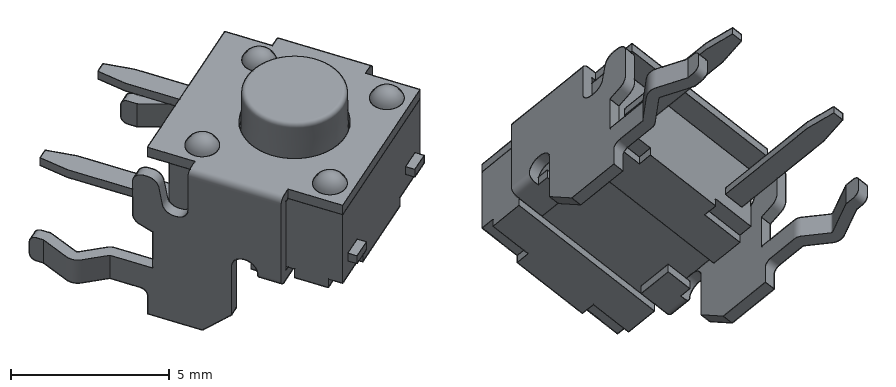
import cadquery as cq
import math


sheet = 0.4
plate_left = -3.74
body_half = 2.99
wall_left = -2.1
wall_right = 1.11
wall_outer = 3.54
wall_inner = wall_outer - sheet
bend_round = 0.25

hook_radius = 0.4
slot_flat = 0.09
slot_bottom = -2.02
post_left = -4.0
post_top = -0.69
post_flat = 0.12
post_corner_radius = 0.37
post_slant_end = -2.98
post_slant_angle = math.radians(20.5)
leg_left = -3.31
leg_right = -0.59
arm_top = -4.5
arm_bottom = -5.48
foot_left = -3.49
foot_bottom = -6.5
foot_chamfer = 1.0
foot_round = 0.25
relief_radius = 0.45
relief_axis = leg_right + relief_radius
relief_top = -2.99

tab_left = -0.1
tab_inner = 2.19
tab_bottom = -3.7
tab_top = tab_bottom + sheet

arm_tip = -7.48
arm_tip_outer = 3.73
arm_tip_bend = -7.0
arm_peak = (-5.74, 4.28)
arm_root_bend = -4.78
arm_peak_radius = 0.48
arm_root_radius = 0.37
arm_tip_round = 0.25

housing_top = -sheet
housing_bottom = -3.66
foot_bar_start = 1.33
foot_notch_start = 2.5
foot_notch_inner = 1.44

stake_pitch = 4.4
stake_diameter = 1.1
stake_height = 0.38

pin_length = 11.0
pin_right = 3.31
pin_left = pin_right - pin_length
pin_offset = 2.23
pin_width = 0.73
pin_tip_width = 0.4
pin_tip_length = 1.02
pin_bottom = -2.67
pin_thickness = 0.33

button_hole_diameter = 3.5
button_base_diameter = 3.4
button_top_diameter = 3.33
button_height = 1.35
button_round = 0.15


def block(x_range, y_range, z_range):
    """A box between the given limits."""
    corner = cq.Vector(x_range[0], y_range[0], z_range[0])
    size = [high - low for low, high in (x_range, y_range, z_range)]
    return cq.Workplane(cq.Solid.makeBox(*size, corner))


def on_circle(center, radius, angle):
    """The point of a circle at an angle in radians."""
    return (center[0] + radius * math.cos(angle), center[1] + radius * math.sin(angle))


def mirrored(shape):
    """A shape on the -Y side together with its mirror image on the +Y side."""
    return shape.union(shape.mirror("XZ"))


def make_wall():
    """The -Y side wall, with its hooked post, foot and relief notch."""
    slot_right = (wall_left - hook_radius, slot_bottom + hook_radius)
    slot_left = (slot_right[0] - slot_flat, slot_right[1])
    post_outer = (post_left + hook_radius, post_top - hook_radius)
    post_inner = (post_outer[0] + post_flat, post_outer[1])

    run = slot_left[0] - post_inner[0]
    rise = slot_left[1] - post_inner[1]
    tangent_angle = math.atan2(rise, run) + math.acos(2 * hook_radius / math.hypot(run, rise))

    slant = math.tan(post_slant_angle)
    corner_x = post_left + post_corner_radius
    tangent_x = corner_x - post_corner_radius * math.sin(post_slant_angle)
    tangent_z = post_slant_end + (leg_left - tangent_x) * slant
    corner_center = (corner_x, tangent_z + post_corner_radius * math.cos(post_slant_angle))
    corner_end_angle = 1.5 * math.pi - post_slant_angle
    corner_mid_angle = (math.pi + corner_end_angle) / 2

    relief_z = relief_top - relief_radius
    outline = (
        cq.Workplane("XZ", origin=(0, -wall_inner, 0))
        .moveTo(wall_left, 0)
        .lineTo(wall_left, slot_right[1])
        .threePointArc(on_circle(slot_right, hook_radius, -math.pi / 4), (slot_right[0], slot_bottom))
        .lineTo(slot_left[0], slot_bottom)
        .threePointArc(
            on_circle(slot_left, hook_radius, -0.75 * math.pi),
            on_circle(slot_left, hook_radius, tangent_angle - math.pi),
        )
        .lineTo(*on_circle(post_inner, hook_radius, tangent_angle))
        .threePointArc(on_circle(post_inner, hook_radius, math.pi / 4), (post_inner[0], post_top))
        .lineTo(post_outer[0], post_top)
        .threePointArc(on_circle(post_outer, hook_radius, 0.75 * math.pi), (post_left, post_outer[1]))
        .lineTo(post_left, corner_center[1])
        .threePointArc(
            on_circle(corner_center, post_corner_radius, corner_mid_angle),
            on_circle(corner_center, post_corner_radius, corner_end_angle),
        )
        .lineTo(leg_left, post_slant_end)
        .lineTo(leg_left, arm_top)
        .lineTo(foot_left, arm_top)
        .lineTo(foot_left, foot_bottom)
        .lineTo(leg_right - foot_chamfer, foot_bottom)
        .lineTo(leg_right, foot_bottom + foot_chamfer)
        .lineTo(leg_right, relief_z)
        .threePointArc((relief_axis, relief_top), (relief_axis + relief_radius, relief_z))
        .lineTo(relief_axis + relief_radius, tab_bottom)
        .lineTo(wall_right, tab_bottom)
        .lineTo(wall_right, 0)
        .close()
    )
    return outline.extrude(sheet)


def offset_inwards(points, distance):
    """Offset a plan path towards the XZ plane, with mitred corners; its ends run along X."""
    angles = [math.atan2(y1 - y0, x1 - x0) for (x0, y0), (x1, y1) in zip(points, points[1:])]
    before = [0] + angles
    after = angles + [0]
    offset_points = []
    for (x, y), a, b in zip(points, before, after):
        miter = distance / math.cos((b - a) / 2)
        middle = (a + b) / 2
        offset_points.append((x - miter * math.sin(middle), y + miter * math.cos(middle)))
    return offset_points


def make_arm():
    """The -Y spring arm: a strip with a sharp bend at its tip and rounded bends at its peak and root."""
    outer = [
        (arm_tip, -arm_tip_outer),
        (arm_tip_bend, -arm_tip_outer),
        (arm_peak[0], -arm_peak[1]),
        (arm_root_bend, -wall_outer),
        (foot_left, -wall_outer),
    ]
    inner = offset_inwards(outer, sheet)
    strip = (
        cq.Workplane("XY", origin=(0, 0, arm_bottom))
        .polyline(outer + inner[::-1])
        .close()
        .extrude(arm_top - arm_bottom)
    )
    middle = (arm_top + arm_bottom) / 2
    bends = (
        (outer[2], arm_peak_radius),
        (inner[2], arm_peak_radius - sheet),
        (inner[3], arm_root_radius),
    )
    for (x, y), radius in bends:
        bend = cq.selectors.NearestToPointSelector((x, y, middle))
        strip = strip.edges("|Z").edges(bend).fillet(radius)
    return strip.faces("<X").edges("|Y").fillet(arm_tip_round)


def make_side():
    """Everything of the cover on its -Y side: the bent wall, its tab and its spring arm."""
    bridge = block((wall_left, wall_right), (-wall_outer, 0), (-sheet, 0))
    bend_left = relief_axis + relief_radius
    bent_tab = block((bend_left, wall_right), (-wall_outer, -tab_inner), (tab_bottom, tab_top))
    tab = block((tab_left, wall_right), (-wall_inner, -tab_inner), (tab_bottom, tab_top))
    side = make_wall().union(bridge).union(bent_tab)
    for level in (0, tab_bottom):
        bend = cq.selectors.NearestToPointSelector(((bend_left + wall_right) / 2, -wall_outer, level))
        side = side.edges("|X").edges(bend).fillet(bend_round)
    side = side.union(tab).union(make_arm())
    wall_middle = (wall_outer + wall_inner) / 2
    foot_corner = cq.selectors.NearestToPointSelector((foot_left, -wall_middle, arm_bottom))
    return side.edges("|Y").edges(foot_corner).fillet(foot_round)


def make_stakes():
    """The four stakes: round posts through the cover, ending in domes above it."""
    radius = stake_diameter / 2
    dome_radius = (radius**2 + stake_height**2) / (2 * stake_height)
    profile = (
        cq.Workplane("XZ")
        .moveTo(0, housing_top)
        .lineTo(radius, housing_top)
        .lineTo(radius, 0)
        .threePointArc(on_circle((0, stake_height - dome_radius), dome_radius, math.pi / 3), (0, stake_height))
        .close()
    )
    stake = profile.revolve(360, (0, 0, 0), (0, 1, 0)).val()
    places = cq.Workplane("XY").rect(stake_pitch, stake_pitch, forConstruction=True).vertices()
    return places.eachpoint(lambda place: stake.moved(place), combine=False)


def make_pin(y):
    """A flat terminal pin with a tapered tip, passing through the housing."""
    return (
        cq.Workplane("XY", origin=(0, y, pin_bottom))
        .moveTo(pin_left, -pin_tip_width / 2)
        .lineTo(pin_left + pin_tip_length, -pin_width / 2)
        .lineTo(pin_right, -pin_width / 2)
        .lineTo(pin_right, pin_width / 2)
        .lineTo(pin_left + pin_tip_length, pin_width / 2)
        .lineTo(pin_left, pin_tip_width / 2)
        .close()
        .extrude(pin_thickness)
    )


def make_housing():
    """The housing, with its notched foot bars, stakes and moulded-in pins."""
    span = (-body_half, body_half)
    housing = block(span, span, (tab_top, housing_top))
    foot_levels = (housing_bottom, tab_top)
    foot_bar = block((foot_bar_start, body_half), span, foot_levels)
    notch = block((foot_notch_start, body_half), (-body_half, -foot_notch_inner), foot_levels)
    foot_bar = foot_bar.cut(mirrored(notch))
    housing = housing.union(foot_bar).union(foot_bar.mirror("YZ"))
    for y in (-pin_offset, pin_offset):
        housing = housing.union(make_pin(y))
    for stake in make_stakes().vals():
        housing = housing.union(cq.Workplane(stake))
    return housing


def make_button():
    """The button: slightly tapered, with a rounded rim; it stands on the housing, clear of the cover."""
    profile = (
        cq.Workplane("XZ")
        .moveTo(0, housing_top)
        .lineTo(button_base_diameter / 2, housing_top)
        .lineTo(button_top_diameter / 2, button_height)
        .lineTo(0, button_height)
        .close()
    )
    return profile.revolve(360, (0, 0, 0), (0, 1, 0)).faces(">Z").edges().fillet(button_round)


def make_cover():
    """The cover, with holes for the button and the stakes."""
    plate = block((plate_left, body_half), (-body_half, body_half), (-sheet, 0))
    cover = plate.union(mirrored(make_side()))
    holes = (
        cq.Workplane("XY", origin=(0, 0, -sheet))
        .circle(button_hole_diameter / 2)
        .rect(stake_pitch, stake_pitch, forConstruction=True)
        .vertices()
        .circle(stake_diameter / 2)
        .extrude(sheet)
    )
    return cover.cut(holes)


cover = make_cover()
housing = make_housing()
button = make_button()
result = cq.Compound.makeCompound([cover.val(), housing.val(), button.val()])